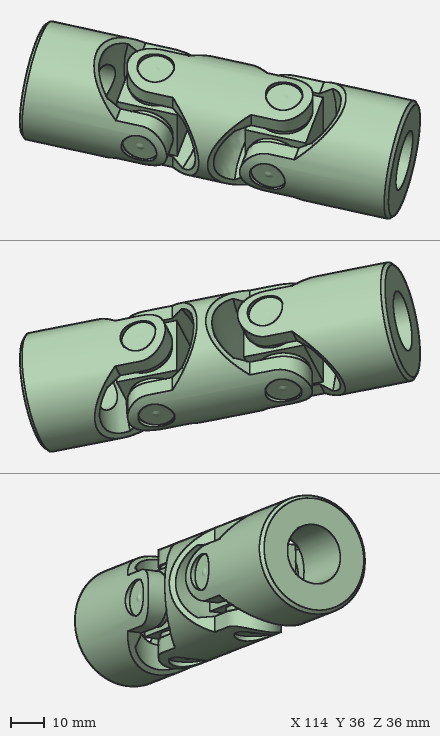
import cadquery as cq
length = 114.0
diameter = 36.0
radius = diameter / 2
end_chamfer = 1.0
bore_diameter = 18.0

joint_offset = 19.8

ear_radius = 8.5
neck_distance = 7.8
shoulder_run = 10.7
cavity_center_distance = 4.2
cavity_rim_radius = 12.5
cavity_waist_radius = 14.1
fork_gap = 22.1

block_size = 18.7
washer_diameter = 16.0
trunnion_diameter = 11.0
trunnion_span = 33.1
point_diameter = 2.6
point_height = 0.3


def fork_outline():
    """Fork profile, joint centre at the origin and the yoke body on the -X side."""
    body_end = -length / 2
    shoulder_end = -neck_distance - shoulder_run
    return (
        cq.Workplane("XZ")
        .moveTo(body_end, radius)
        .lineTo(shoulder_end, radius)
        .lineTo(-neck_distance, ear_radius)
        .lineTo(0, ear_radius)
        .threePointArc((ear_radius, 0), (0, -ear_radius))
        .lineTo(-neck_distance, -ear_radius)
        .lineTo(shoulder_end, -radius)
        .lineTo(body_end, -radius)
        .close()
        .extrude(radius, both=True)
    )


def fork_cavity():
    """Space between the ears: a slot whose closed end is a barrel standing along Z."""
    barrel = (
        cq.Workplane("XZ")
        .moveTo(0, -radius)
        .lineTo(cavity_rim_radius, -radius)
        .threePointArc((cavity_waist_radius, 0), (cavity_rim_radius, radius))
        .lineTo(0, radius)
        .close()
        .revolve(360, (0, 0, 0), (0, 1, 0))
        .translate((-cavity_center_distance, 0, 0))
    )
    slot_length = cavity_center_distance + radius
    open_slot = cq.Workplane("XY").box(slot_length, fork_gap, diameter, centered=(False, True, True))
    open_slot = open_slot.translate((-cavity_center_distance, 0, 0))
    slot = cq.Workplane("XY").box(length, fork_gap, diameter)
    return barrel.intersect(slot).union(open_slot)


def trunnion_holes():
    """Pair of aligned ear holes along Y."""
    return cq.Workplane("XZ").circle(trunnion_diameter / 2).extrude(radius, both=True)


def fork(blank):
    """Cut a fork with ears on +Y and -Y into the +X end of a blank, joint centre at the origin."""
    return blank.intersect(fork_outline()).cut(fork_cavity()).cut(trunnion_holes())


def round_bar(start, end):
    """Full-diameter bar along X."""
    return cq.Workplane("YZ").workplane(offset=start).circle(radius).extrude(end - start)


def end_yoke():
    """Left-hand end yoke in its place on the shaft, ears on +Y and -Y."""
    outer_end = joint_offset - length / 2
    blank = round_bar(outer_end, ear_radius).faces("<X").chamfer(end_chamfer)
    bore = cq.Workplane("YZ").workplane(offset=outer_end).circle(bore_diameter / 2).extrude(-outer_end)
    return fork(blank).cut(bore).translate((-joint_offset, 0, 0))


def middle_yoke():
    """Double yoke with ears on +Z and -Z at both ends."""
    half = fork(round_bar(-joint_offset, ear_radius)).rotate((0, 0, 0), (1, 0, 0), 90)
    half = half.translate((joint_offset, 0, 0))
    return half.union(half.mirror("YZ"))


def cross():
    """Cross block with four trunnions along Y and Z, each with a washer and a low pointed tip."""
    body = cq.Workplane("XY").box(block_size, block_size, block_size)
    for plane in ("XY", "XZ"):
        washers = cq.Workplane(plane).circle(washer_diameter / 2).extrude(fork_gap / 2, both=True)
        trunnions = cq.Workplane(plane).circle(trunnion_diameter / 2).extrude(trunnion_span / 2, both=True)
        body = body.union(washers).union(trunnions)
    for direction in ((0, 0, 1), (0, 0, -1), (0, 1, 0), (0, -1, 0)):
        outward = cq.Vector(*direction)
        point = cq.Solid.makeCone(
            point_diameter / 2, 0, point_height, outward.multiply(trunnion_span / 2), outward
        )
        body = body.union(cq.Workplane(point))
    return body


left_yoke = end_yoke()
right_yoke = left_yoke.mirror("YZ")
double_yoke = middle_yoke()
crosses = [cross().translate((x, 0, 0)) for x in (-joint_offset, joint_offset)]

result = cq.Compound.makeCompound(
    [left_yoke.val(), double_yoke.val(), right_yoke.val(), *[each.val() for each in crosses]]
)